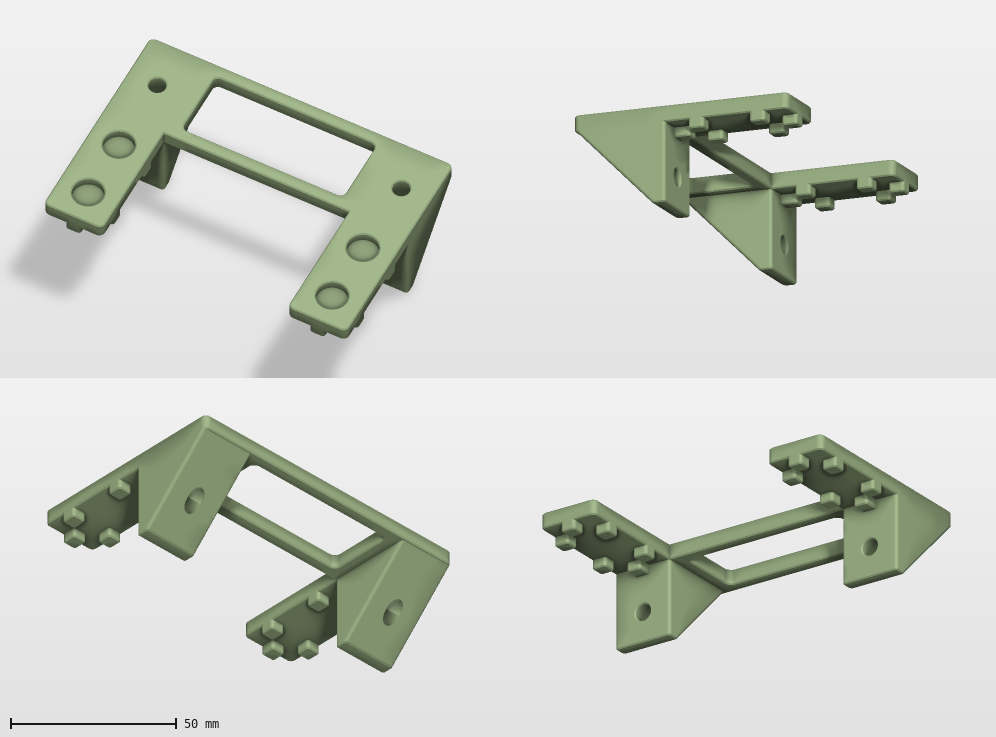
import cadquery as cq

width = 103.0
depth = 70.0
height = 30.0
plate_thickness = 5.0
leg_width = 20.0
bridge_depth = 30.0

outer_corner_radius = 2.0
bracket_edge_radius = 1.0
edge_chamfer = 0.4

window_side_margin = 24.0
window_end_margin = 4.0

screw_hole_diameter = 5.5
front_hole_drop = 20.0
recess_diameter = 10.0
recess_depth = 3.0

bracket_foot = 4.2

tab_size = 5.0
tab_drop = 3.0
tab_edge_radius = 1.0

wall_y = depth - bridge_depth
inner_x = width / 2 - leg_width
leg_center_x = (width - leg_width) / 2
cell_y = [wall_y / 4, 3 * wall_y / 4]
top_hole_y = depth - bridge_depth / 2
front_hole_z = -front_hole_drop
tab_root_z = -plate_thickness / 2


def make_rounded_block(x_size, y_size, y_start, thickness):
    """Block below Z = 0, centred in X, with rounded upright edges."""
    return (
        cq.Workplane("XY")
        .box(x_size, y_size, thickness, centered=(True, False, False))
        .edges("|Z")
        .fillet(outer_corner_radius)
        .translate((0, y_start, -thickness))
    )


def make_plate():
    """Bridge and two legs with a window, every top and bottom edge chamfered."""
    leg = make_rounded_block(leg_width, depth, 0, plate_thickness)
    bridge = make_rounded_block(width, bridge_depth, wall_y, plate_thickness)
    window = make_rounded_block(
        width - 2 * window_side_margin,
        bridge_depth - 2 * window_end_margin,
        wall_y + window_end_margin,
        plate_thickness,
    )
    plate = bridge
    for side in (-1, 1):
        plate = plate.union(leg.translate((side * leg_center_x, 0, 0)))
    plate = plate.cut(window).clean()
    return plate.faces("<Z or >Z").edges().chamfer(edge_chamfer)


def make_bracket():
    """Triangular bracket of the right leg: upright front wall and a 45 degree back slope."""
    bracket = (
        cq.Workplane("YZ")
        .moveTo(wall_y, tab_root_z)
        .lineTo(wall_y, -height)
        .lineTo(wall_y + bracket_foot, -height)
        .lineTo(depth, -bracket_foot)
        .lineTo(depth, tab_root_z)
        .close()
        .extrude(leg_width)
        .translate((inner_x, 0, 0))
    )
    slope = cq.selectors.DirectionMinMaxSelector(cq.Vector(0, 1, -1))
    slope_sides = bracket.faces(slope).edges("not(|X)")
    bracket = slope_sides.fillet(bracket_edge_radius)
    bracket = bracket.edges("|Z and <Y").fillet(bracket_edge_radius)
    bracket = bracket.faces("<Z").edges().chamfer(edge_chamfer)
    return bracket.intersect(make_rounded_block(width, depth, 0, height))


def make_tab(x, y, y_size):
    """Peg with rounded upright edges, rooted inside the plate."""
    tab_length = tab_drop - tab_root_z
    return (
        cq.Workplane("XY")
        .rect(tab_size, y_size)
        .extrude(-tab_length)
        .edges("|Z")
        .fillet(tab_edge_radius)
        .faces("<Z")
        .edges()
        .chamfer(edge_chamfer)
        .translate((x, y, tab_root_z))
    )


def make_countersunk_tool(diameter, length):
    """Cutter pointing down from the origin, with a small chamfer at its mouth."""
    radius = diameter / 2
    return (
        cq.Workplane("XZ")
        .lineTo(radius + edge_chamfer, 0)
        .lineTo(radius, -edge_chamfer)
        .lineTo(radius, -length)
        .lineTo(0, -length)
        .close()
        .revolve(360, (0, 0, 0), (0, 1, 0))
    )


def make_leg_underside():
    """Bracket and the tabs on every free side of the two square cells of the right leg."""
    reach = (leg_width - tab_size) / 2
    rear_tab_size = tab_size + tab_edge_radius
    underside = make_bracket()
    underside = underside.union(make_tab(leg_center_x, tab_size / 2, tab_size))
    underside = underside.union(
        make_tab(leg_center_x, wall_y - tab_size + rear_tab_size / 2, rear_tab_size)
    )
    for y in cell_y:
        for side in (-1, 1):
            underside = underside.union(make_tab(leg_center_x + side * reach, y, tab_size))
    return underside


def make_leg_cutters():
    """Two screw holes and two round recesses of the right leg."""
    screw_hole = make_countersunk_tool(screw_hole_diameter, height)
    recess = make_countersunk_tool(recess_diameter, recess_depth)
    cutters = [
        screw_hole.translate((leg_center_x, top_hole_y, 0)),
        screw_hole.rotate((0, 0, 0), (1, 0, 0), 90).translate((leg_center_x, wall_y, front_hole_z)),
    ]
    for y in cell_y:
        cutters.append(recess.translate((leg_center_x, y, 0)))
    return cutters


right_underside = make_leg_underside()
result = make_plate().union(right_underside).union(right_underside.mirror("YZ"))
for cutter in make_leg_cutters():
    result = result.cut(cutter).cut(cutter.mirror("YZ"))